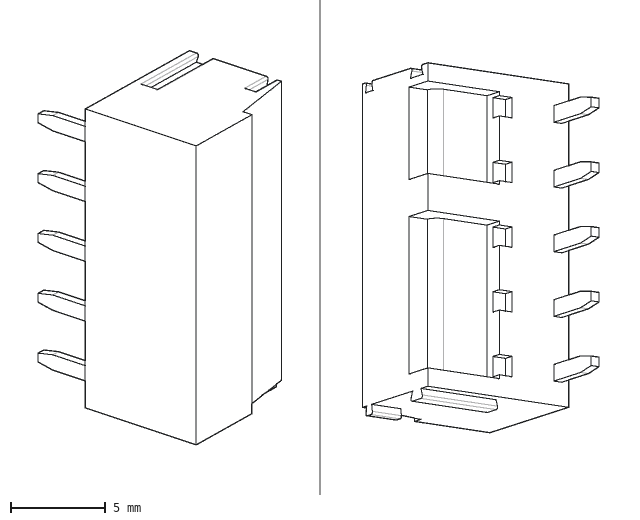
import cadquery as cq
import math


pitch = 3.5
pin_count = 5
body_width = 7.4
body_depth = 9.0
body_height = pitch * pin_count

step_width = 0.6
relief_top_width = 1.26
relief_depth = 4.19

pin_length = pitch
pin_height = 0.9
pin_thickness = 0.5
pin_tip_height = 0.52
pin_taper_length = 1.0
pin_front_y = 0.45

end_wall = 1.0
rib_height = 2.0
upper_pocket_height = 5.0
upper_pocket_top = body_height - end_wall
upper_pocket_bottom = upper_pocket_top - upper_pocket_height
pockets = [
    (end_wall, upper_pocket_bottom - rib_height),
    (upper_pocket_bottom, upper_pocket_top),
]
pocket_length = 4.57
pocket_depth = 1.15
pocket_back_depth = 1.77
pocket_back_length = 1.17
pocket_step = pocket_back_depth - pocket_depth

notch_length = 0.81
notch_height = 1.1
notch_depth = 0.61

dovetail_height = 0.55
dovetail_rounding = 0.13
dovetails = [
    (1.05, 0.8, 19.0, 4.8),
    (5.5, 0.47, 10.0, 1.86),
]

pin_heights = [pitch * (index + 0.5) for index in range(pin_count)]


def box(x_range, y_range, z_range):
    """Axis-aligned box between the given limits."""
    starts, ends = zip(x_range, y_range, z_range)
    sizes = [end - start for start, end in zip(starts, ends)]
    return cq.Workplane("XY").box(*sizes, centered=False).translate(starts)


def make_housing():
    relief_y = body_depth - relief_depth
    outline = [
        (0, 0),
        (body_width, 0),
        (body_width, relief_y),
        (body_width - step_width, relief_y),
        (body_width - relief_top_width, body_depth),
        (0, body_depth),
    ]
    return cq.Workplane("XY").polyline(outline).close().extrude(body_height)


def make_pocket(bottom, top):
    """Pocket open at the back, its floor dropping over a rounded step."""
    front_y = body_depth - pocket_length
    step_y = body_depth - pocket_back_length
    arc_middle = (
        pocket_back_depth - pocket_step * math.sin(math.pi / 4),
        step_y - pocket_step * (1 - math.sin(math.pi / 4)),
    )
    return (
        cq.Workplane("XY", origin=(0, 0, bottom))
        .moveTo(0, front_y)
        .lineTo(pocket_depth, front_y)
        .lineTo(pocket_depth, step_y - pocket_step)
        .threePointArc(arc_middle, (pocket_back_depth, step_y))
        .lineTo(pocket_back_depth, body_depth)
        .lineTo(0, body_depth)
        .close()
        .extrude(top - bottom)
    )


def make_notch(z):
    back_y = body_depth - pocket_length
    return box(
        (0, notch_depth),
        (back_y - notch_length, back_y),
        (z - notch_height / 2, z + notch_height / 2),
    )


def make_pin(z):
    """Flat pin with a tip tapered above and below."""
    half = pin_height / 2
    half_tip = pin_tip_height / 2
    taper_x = pin_taper_length - pin_length
    outline = [
        (0, z - half),
        (taper_x, z - half),
        (-pin_length, z - half_tip),
        (-pin_length, z + half_tip),
        (taper_x, z + half),
        (0, z + half),
    ]
    return (
        cq.Workplane("XZ", origin=(0, pin_front_y, 0))
        .polyline(outline)
        .close()
        .extrude(-pin_thickness)
    )


def make_dovetail(centre_x, neck_width, side_angle, length, top_z):
    """Dovetail bar hanging below top_z, narrow at its top, ending at the back face."""
    half_neck = neck_width / 2
    half_base = half_neck + dovetail_height * math.tan(math.radians(side_angle))
    outline = [
        (-half_neck, 0),
        (half_neck, 0),
        (half_base, -dovetail_height),
        (-half_base, -dovetail_height),
    ]
    return (
        cq.Workplane("XZ", origin=(centre_x, body_depth - length, top_z))
        .polyline(outline)
        .close()
        .extrude(-length)
    )


def make_rail(dovetail):
    return make_dovetail(*dovetail, top_z=0).edges("|Y and <Z").fillet(dovetail_rounding)


def cut_groove(body, dovetail):
    """Cut a dovetail groove into the top and round its two lips."""
    centre_x, neck_width, _, length = dovetail
    body = body.cut(make_dovetail(*dovetail, top_z=body_height))
    middle_y = body_depth - length / 2
    for side in (-1, 1):
        lip = (centre_x + side * neck_width / 2, middle_y, body_height)
        body = body.edges(cq.selectors.NearestToPointSelector(lip)).fillet(dovetail_rounding)
    return body


result = make_housing()
for dovetail in dovetails:
    result = cut_groove(result, dovetail)
    result = result.union(make_rail(dovetail))
for bottom, top in pockets:
    result = result.cut(make_pocket(bottom, top))
for z in pin_heights:
    result = result.cut(make_notch(z))
    result = result.union(make_pin(z))